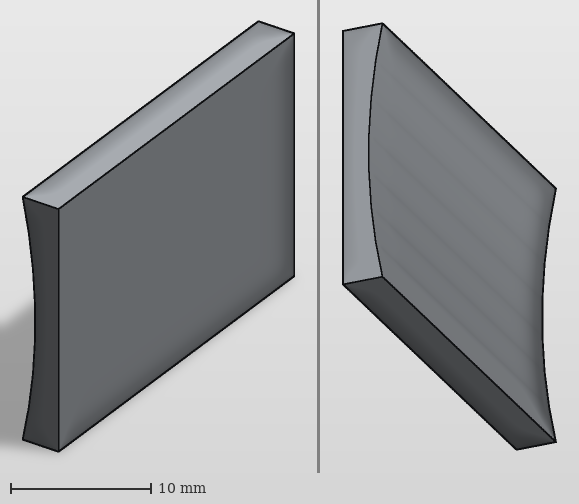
import cadquery as cq

thickness = 3.1
length = 30.0
height = 20.0
hollow_depth = 1.08

back_x = thickness / 2
edge_x = -thickness / 2
half_height = height / 2

profile = (
    cq.Workplane("XZ")
    .moveTo(back_x, -half_height)
    .lineTo(back_x, half_height)
    .lineTo(edge_x, half_height)
    .threePointArc((edge_x + hollow_depth, 0), (edge_x, -half_height))
    .close()
)

result = profile.extrude(length / 2, both=True)